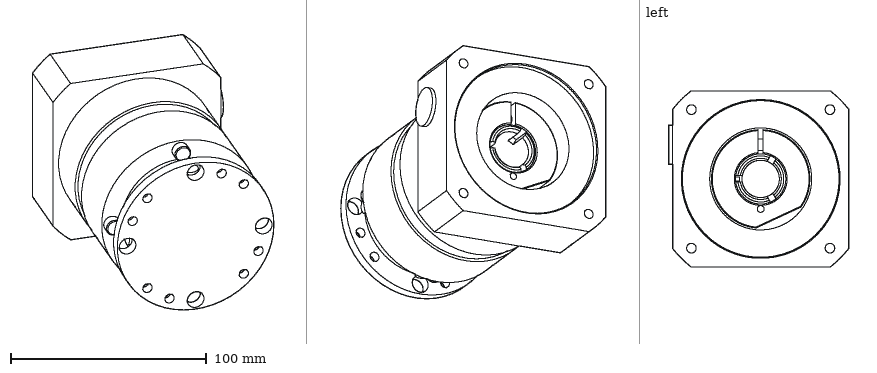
import cadquery as cq
import math


PLATE_END = 34.3
REAR_BODY_END = 61.8
WAIST_END = 72.5
FRONT_BODY_END = 106.1
FLANGE_START = 126.1
TOTAL_LENGTH = 132.3

PLATE_SIDE = 90.0
PLATE_CORNER_DIA = 114.7
MOUNT_CIRCLE_DIA = 100.0
MOUNT_HOLE_ANGLES = (45.0, 135.0, 225.0, 315.0)
MOUNT_HOLE_DIA = 4.9
MOUNT_HOLE_DEPTH = 15.9
DRILL_TIP_ANGLE = 118.0

BODY_DIA = 84.0
WAIST_DIA = 81.0
NECK_DIA = 63.0

PILOT_DIA = 80.0
PILOT_DEPTH = 4.0
PILOT_RIM_CHAMFER = 0.5
WELL_DIA = 52.1
WELL_FLOOR = 30.0

HUB_DIA = 50.3
HUB_FACE = 15.2
HUB_EDGE_CHAMFER = 0.4
HUB_FLAT_DISTANCE = 21.7
HUB_FLAT_ANGLE = 25.0
HUB_SLIT_WIDTH = 2.5
HUB_PIN_HOLE_DIA = 3.5
HUB_PIN_HOLE_RADIUS = 15.3
CLAMP_SCREW_DIA = 6.0
CLAMP_SCREW_X = 22.6
CLAMP_SCREW_Z = 17.5

SLEEVE_OUTER_DIA = 25.7
SLEEVE_OUTER_CHAMFER = 1.0
HUB_MOUTH_DIA = 27.0
SHAFT_BORE_DIA = 19.0
SHAFT_BORE_MOUTH_DIA = 21.0
SHAFT_BORE_MOUTH_LENGTH = 2.1
SHAFT_BORE_DEPTH = 39.7
SLEEVE_SLOT_COUNT = 3
SLEEVE_SLOT_WIDTH = 3.3
SLEEVE_SLOT_DEPTH = 13.2
LOCATING_PIN_DIA = 2.0
LOCATING_PIN_TIP = 10.8

ACCESS_PLUG_DIA = 20.0
ACCESS_PLUG_HEIGHT = 2.0

SCREW_COUNT = 4
SCREW_HEAD_DIA = 8.5
SCREW_HEAD_HEIGHT = 5.2
SCREW_HEAD_CHAMFER = 0.5
SCREW_RADIUS = 36.6

NECK_PLUG_COUNT = 4
NECK_PLUG_DIA = 9.5
NECK_PLUG_X = 121.2
NECK_PLUG_TOP = 33.5

FLANGE_HOLE_RADIUS = 36.5
FLANGE_ACCESS_DIA = 8.9
FLANGE_SMALL_DIA = 4.9
FLANGE_QUARTERS = 4
FLANGE_SMALL_ANGLES = (45.0, 67.5)

OVERLAP = 1.3


def cylinder(x_start, x_end, diameter, y=0.0, z=0.0):
    """Solid cylinder along X."""
    return (
        cq.Workplane("YZ", origin=(x_start, y, z))
        .circle(diameter / 2)
        .extrude(x_end - x_start)
    )


def cone(x_start, x_end, start_diameter, end_diameter, y=0.0, z=0.0):
    """Solid cone or truncated cone along X."""
    return cq.Workplane(
        cq.Solid.makeCone(
            start_diameter / 2,
            end_diameter / 2,
            x_end - x_start,
            cq.Vector(x_start, y, z),
            cq.Vector(1, 0, 0),
        )
    )


def box_from(x_range, y_range, z_range):
    """Box between the given limits."""
    lengths = [high - low for low, high in (x_range, y_range, z_range)]
    corner = (x_range[0], y_range[0], z_range[0])
    return cq.Workplane("XY").box(*lengths, centered=False).translate(corner)


def around_axis(radius, angle):
    """Y and Z of a point on a circle round the axis, the angle running from +Y to +Z."""
    turn = math.radians(angle)
    return radius * math.cos(turn), radius * math.sin(turn)


def turned(shape, angle):
    """The shape turned round the part axis, from +Y towards +Z."""
    return shape.rotate((0, 0, 0), (1, 0, 0), angle)


def make_plate():
    """Square plate whose corners are turned to a common diameter."""
    square = cq.Workplane("YZ").rect(PLATE_SIDE, PLATE_SIDE).extrude(PLATE_END)
    return square.intersect(cylinder(0, PLATE_END, PLATE_CORNER_DIA))


def make_housing():
    """Plate, stepped body, neck and output flange."""
    housing = make_plate()
    housing = housing.union(cylinder(PLATE_END - OVERLAP, REAR_BODY_END, BODY_DIA))
    housing = housing.union(cylinder(REAR_BODY_END - OVERLAP, WAIST_END + OVERLAP, WAIST_DIA))
    housing = housing.union(cylinder(WAIST_END, FRONT_BODY_END, BODY_DIA))
    housing = housing.union(cylinder(FRONT_BODY_END - OVERLAP, FLANGE_START + OVERLAP, NECK_DIA))
    return housing.union(cylinder(FLANGE_START, TOTAL_LENGTH, BODY_DIA))


def cut_mount_holes(body):
    """Blind drilled holes in the four plate corners."""
    tip_length = MOUNT_HOLE_DIA / 2 / math.tan(math.radians(DRILL_TIP_ANGLE / 2))
    for angle in MOUNT_HOLE_ANGLES:
        y, z = around_axis(MOUNT_CIRCLE_DIA / 2, angle)
        body = body.cut(cylinder(0, MOUNT_HOLE_DEPTH, MOUNT_HOLE_DIA, y, z))
        tip_end = MOUNT_HOLE_DEPTH + tip_length
        body = body.cut(cone(MOUNT_HOLE_DEPTH, tip_end, MOUNT_HOLE_DIA, 0, y, z))
    return body


def cut_pilot_and_well(body):
    """Shallow pilot recess with a chamfered rim, and the deeper well inside it."""
    rim_dia = PILOT_DIA + 2 * PILOT_RIM_CHAMFER
    body = body.cut(cylinder(0, PILOT_DEPTH, PILOT_DIA))
    body = body.cut(cone(0, PILOT_RIM_CHAMFER, rim_dia, PILOT_DIA))
    return body.cut(cylinder(0, WELL_FLOOR, WELL_DIA))


def make_hub():
    """Clamping hub with one flat, a radial slit, its clamp screw and a pin hole."""
    hub_end = WELL_FLOOR + OVERLAP
    hub = cylinder(HUB_FACE, hub_end, HUB_DIA)

    beyond_flat = box_from(
        (HUB_FACE, WELL_FLOOR),
        (-HUB_DIA / 2, HUB_DIA / 2),
        (-HUB_DIA, -HUB_FLAT_DISTANCE),
    )
    hub = hub.cut(turned(beyond_flat, -HUB_FLAT_ANGLE))
    hub = hub.faces("<X").chamfer(HUB_EDGE_CHAMFER)

    slit = box_from(
        (HUB_FACE, WELL_FLOOR),
        (-HUB_SLIT_WIDTH / 2, HUB_SLIT_WIDTH / 2),
        (SHAFT_BORE_DIA / 2 + OVERLAP, HUB_DIA / 2 + OVERLAP),
    )
    hub = hub.cut(slit)

    screw_length = HUB_SLIT_WIDTH + 2 * OVERLAP
    screw = (
        cq.Workplane("XZ", origin=(CLAMP_SCREW_X, screw_length / 2, CLAMP_SCREW_Z))
        .circle(CLAMP_SCREW_DIA / 2)
        .extrude(screw_length)
    )
    hub = hub.union(screw)

    pin_hole = cylinder(HUB_FACE, WELL_FLOOR, HUB_PIN_HOLE_DIA, 0, -HUB_PIN_HOLE_RADIUS)
    return hub.cut(pin_hole)


def make_sleeve():
    """Sleeve blank that fills the hub bore, chamfered on its outer edge."""
    sleeve = cylinder(HUB_FACE, WELL_FLOOR + OVERLAP, SLEEVE_OUTER_DIA)
    return sleeve.faces("<X").chamfer(SLEEVE_OUTER_CHAMFER)


def add_hub_and_sleeve(body):
    """Hub and sleeve in the well, bored and slotted, with a locating pin in the +Y slot."""
    mouth_depth = (HUB_MOUTH_DIA - SLEEVE_OUTER_DIA) / 2
    groove_end = HUB_FACE + SLEEVE_OUTER_CHAMFER
    hub = make_hub()
    hub = hub.cut(cylinder(HUB_FACE, groove_end, SLEEVE_OUTER_DIA))
    hub = hub.cut(cone(HUB_FACE, HUB_FACE + mouth_depth, HUB_MOUTH_DIA, SLEEVE_OUTER_DIA))
    body = body.union(hub.union(make_sleeve()))

    bore_mouth_end = HUB_FACE + SHAFT_BORE_MOUTH_LENGTH
    body = body.cut(cylinder(HUB_FACE, HUB_FACE + SHAFT_BORE_DEPTH, SHAFT_BORE_DIA))
    body = body.cut(cone(HUB_FACE, bore_mouth_end, SHAFT_BORE_MOUTH_DIA, SHAFT_BORE_DIA))

    slot = box_from(
        (HUB_FACE, HUB_FACE + SLEEVE_SLOT_DEPTH),
        (0, SLEEVE_OUTER_DIA / 2),
        (-SLEEVE_SLOT_WIDTH / 2, SLEEVE_SLOT_WIDTH / 2),
    )
    for index in range(SLEEVE_SLOT_COUNT):
        body = body.cut(turned(slot, index * 360 / SLEEVE_SLOT_COUNT))

    pin_root = SLEEVE_OUTER_DIA / 2 + OVERLAP
    pin = (
        cq.Workplane("XZ", origin=(CLAMP_SCREW_X, pin_root, 0))
        .circle(LOCATING_PIN_DIA / 2)
        .extrude(pin_root - LOCATING_PIN_TIP)
    )
    return body.union(pin)


def add_access_plug(body):
    """Low round plug standing on the +Y side of the plate."""
    plug_top = PLATE_SIDE / 2 + ACCESS_PLUG_HEIGHT
    plug = (
        cq.Workplane("XZ", origin=(CLAMP_SCREW_X, plug_top, CLAMP_SCREW_Z))
        .circle(ACCESS_PLUG_DIA / 2)
        .extrude(ACCESS_PLUG_HEIGHT + OVERLAP)
    )
    return body.union(plug)


def add_cap_screws(body):
    """Screw heads standing on the front face of the body."""
    head_end = FRONT_BODY_END + SCREW_HEAD_HEIGHT
    for index in range(SCREW_COUNT):
        y, z = around_axis(SCREW_RADIUS, index * 360 / SCREW_COUNT)
        head = cylinder(FRONT_BODY_END - OVERLAP, head_end, SCREW_HEAD_DIA, y, z)
        body = body.union(head.faces(">X").chamfer(SCREW_HEAD_CHAMFER))
    return body


def add_neck_plugs(body):
    """Radial round plugs around the neck, close to the flange."""
    plug = (
        cq.Workplane("XY", origin=(NECK_PLUG_X, 0, 0))
        .circle(NECK_PLUG_DIA / 2)
        .extrude(NECK_PLUG_TOP)
    )
    outer_part = plug.cut(cylinder(FRONT_BODY_END, TOTAL_LENGTH, NECK_DIA - 2 * OVERLAP))
    for index in range(NECK_PLUG_COUNT):
        body = body.union(turned(outer_part, index * 360 / NECK_PLUG_COUNT))
    return body


def cut_flange_holes(body):
    """Screw access holes and small holes through the flange."""
    for quarter in range(FLANGE_QUARTERS):
        start_angle = quarter * 360 / FLANGE_QUARTERS
        y, z = around_axis(FLANGE_HOLE_RADIUS, start_angle)
        body = body.cut(cylinder(FLANGE_START, TOTAL_LENGTH, FLANGE_ACCESS_DIA, y, z))
        for angle in FLANGE_SMALL_ANGLES:
            y, z = around_axis(FLANGE_HOLE_RADIUS, start_angle + angle)
            body = body.cut(cylinder(FLANGE_START, TOTAL_LENGTH, FLANGE_SMALL_DIA, y, z))
    return body


gearbox = make_housing()
gearbox = cut_mount_holes(gearbox)
gearbox = cut_pilot_and_well(gearbox)
gearbox = add_hub_and_sleeve(gearbox)
gearbox = add_access_plug(gearbox)
gearbox = add_cap_screws(gearbox)
gearbox = add_neck_plugs(gearbox)
gearbox = cut_flange_holes(gearbox)
result = gearbox